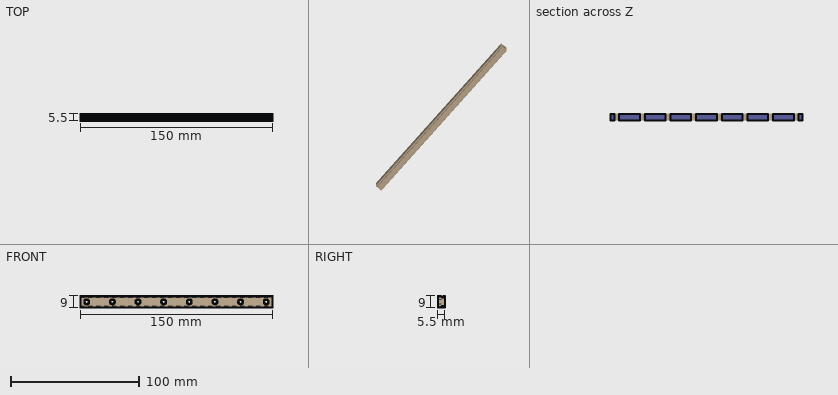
import cadquery as cq

length = 150.0
depth = 5.5
height = 9.0
half_height = height / 2
head_y = depth / 2

head_chamfer = 0.5
base_chamfer = 0.2

groove_start = 0.8
groove_width = 1.8
groove_depth = 0.8

slot_width = 0.3
slot_depth = 1.0

recess_width = 0.9
recess_depth = 0.22
recess_slope = 0.5

hole_count = 8
hole_diameter = 3.5
end_margin = 5.0
hole_pitch = (length - 2 * end_margin) / (hole_count - 1)


def rail_body():
    """Rectangular bar with chamfered long edges."""
    bar = cq.Workplane("XY").box(length, depth, height)
    bar = bar.faces(">Y").edges("|X").chamfer(head_chamfer)
    return bar.faces("<Y").edges("|X").chamfer(base_chamfer)


def side_cutter(side):
    """Groove, relief slot and recess for the top (side = 1) or bottom (side = -1) of the bar."""
    surface = side * half_height
    groove_y = head_y - groove_start
    groove_end = groove_y - groove_width
    recess_floor = surface - side * recess_depth
    recess_end = groove_end - recess_width
    groove_middle = groove_y - groove_width / 2
    groove_bottom = (groove_middle, surface - side * groove_depth)
    slot = (
        cq.Workplane("XY")
        .box(length, slot_width, slot_depth)
        .translate((0, groove_middle, surface - side * slot_depth / 2))
    )
    groove = (
        cq.Workplane("YZ")
        .moveTo(groove_y, surface)
        .threePointArc(groove_bottom, (groove_end, recess_floor))
        .lineTo(recess_end, recess_floor)
        .lineTo(recess_end - recess_slope, surface)
        .close()
        .extrude(length / 2, both=True)
    )
    return groove.union(slot)


def mounting_holes():
    """Plain through holes, evenly spaced along the rail."""
    return (
        cq.Workplane("XZ")
        .rarray(hole_pitch, 1.5, hole_count, 1)
        .circle(hole_diameter / 2)
        .extrude(depth, both=True)
    )


result = rail_body().cut(mounting_holes())
for side in (1, -1):
    result = result.cut(side_cutter(side))